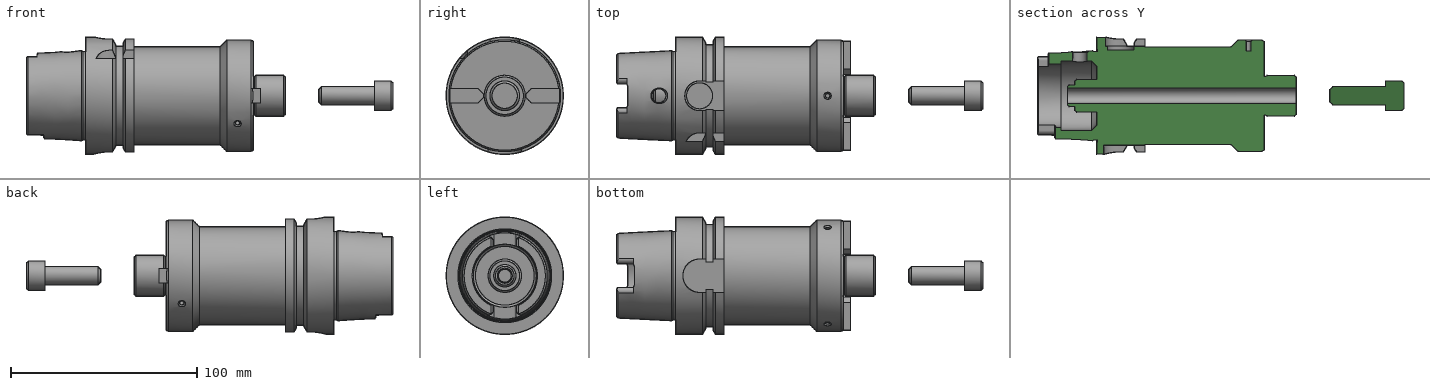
import cadquery as cq
import math

TOTAL_LENGTH = 197.0

SHANK_LENGTH = 32.0
SHANK_TAIL_RADIUS = 45.5 / 2
TAPER_SLOPE = 1 / 20
TAIL_CHAMFER = 1.0
RELIEF_WIDTH = 2.2
RELIEF_RADIUS = 23.8
RELIEF_FLANK = 0.5
FACE_RECESS_RADIUS = 25.2
FACE_RECESS_DEPTH = 0.4

BORE_RADIUS = 17.0
BORE_MOUTH_CHAMFER = 0.5
BORE_LENGTH = 12.8
UNDERCUT_RADIUS = 18.5
BORE_FLOOR_RADIUS = 15.8

DRIVE_SLOT_WIDTH = 12.6
UPPER_DRIVE_SLOT_DEPTH = 6.1
LOWER_DRIVE_SLOT_DEPTH = 9.7
DRIVE_SLOT_FILLET = 1.4
SLOT_ROUNDING_HALF_WIDTH = 9.3
SLOT_ROUNDING_LOW = 18.7
SLOT_ROUNDING_HIGH = 20.9
SLOT_ROUNDING_SETBACK = 0.4
SLOT_MOUTH_FLARE = 1.2
SLOT_MOUTH_CHAMFER = 0.5

ACCESS_HOLE_X = 22.9
ACCESS_HOLE_DIAMETER = 7.5
ACCESS_COUNTERSINK_DIAMETER = 9.0

COUNTERSINK_CLEARANCE = 1.0

NUT_DIAMETER = 18.0
NUT_X = 20.0
NUT_CHAMFER = 1.0
TUBE_DIAMETER = 12.0
TUBE_PROTRUSION = 4.0
TUBE_CHAMFER = 1.0
COOLANT_BORE_DIAMETER = 8.0

FLANGE_RADIUS = 31.5
FLANGE_WIDTH = 26.0
GROOVE_OFFSET = 14.4
GROOVE_LEFT_FLANK = 1.8
GROOVE_FLOOR_WIDTH = 4.0
GROOVE_RIGHT_FLANK = 1.2
GROOVE_FLOOR_RADIUS = 27.5
GROOVE_HALF_ANGLE = 30.0

KEYWAY_OFFSET = 12.8
UPPER_KEYWAY_WIDTH = 16.0
LOWER_KEYWAY_WIDTH = 18.0
KEYWAY_FLOOR_HEIGHT = 26.5
POCKET_DIAMETER = 14.0
POCKET_DEPTH = 2.0
NOTCH_CORNER = 19.9

BODY_RADIUS = 26.4
HEAD_RADIUS = 60.0 / 2
HEAD_FACE_X = SHANK_LENGTH + 90.0
HEAD_LENGTH = 14.2
HEAD_CHAMFER = 1.4
HEAD_CHAMFER_DROP = 0.8
PILOT_RADIUS = 11.0
PILOT_LENGTH = 17.1
PILOT_CHAMFER = 1.0
NECK_RADIUS = 10.5
NECK_LENGTH = 0.5
NECK_RUNOUT = 0.8

KEY_WIDTH = 7.9
KEY_HEIGHT = 4.0
KEY_SEAT_DEPTH = 1.0
KEY_OUTER_REACH = 29.4
KEY_INNER_REACH = 11.5
KEY_CHAMFER = 3.0

RADIAL_HOLE_COUNT = 3
RADIAL_HOLE_X = 113.5
RADIAL_HOLE_DIAMETER = 2.4
RADIAL_HOLE_DEPTH = 6.0
RADIAL_COUNTERSINK_DIAMETER = 4.0

SCREW_LENGTH = 40.0
SCREW_SHAFT_DIAMETER = 10.0
SCREW_TIP_CHAMFER = 1.5
SCREW_HEAD_DIAMETER = 16.0
SCREW_HEAD_LENGTH = 10.0
SCREW_HEAD_CHAMFER = 1.2

FLANGE_END = SHANK_LENGTH + FLANGE_WIDTH
KEYWAY_X = SHANK_LENGTH + KEYWAY_OFFSET


def revolve_about_x(profile):
    """Solid of revolution from (x, radius) points, closed along the X axis."""
    start = (profile[0][0], 0)
    end = (profile[-1][0], 0)
    outline = cq.Workplane("XY").polyline([start, *profile, end]).close()
    return outline.revolve(360, (0, 0, 0), (1, 0, 0))


def x_cylinder(diameter, start, end):
    return cq.Workplane("YZ", origin=(start, 0, 0)).circle(diameter / 2).extrude(end - start)


def block(x_range, y_range, z_range):
    size = [high - low for low, high in (x_range, y_range, z_range)]
    return cq.Workplane("XY").box(*size, centered=False).translate((x_range[0], y_range[0], z_range[0]))


def outer_body():
    """Shank, flange, body, head and pilot as one turned solid."""
    relief_start = SHANK_LENGTH - RELIEF_WIDTH
    recess_floor = SHANK_LENGTH + FACE_RECESS_DEPTH
    tail_edge_radius = SHANK_TAIL_RADIUS + TAPER_SLOPE * TAIL_CHAMFER
    flank_slope = 1 / math.tan(math.radians(GROOVE_HALF_ANGLE))
    groove_start = SHANK_LENGTH + GROOVE_OFFSET
    floor_start = groove_start + GROOVE_LEFT_FLANK
    floor_end = floor_start + GROOVE_FLOOR_WIDTH
    groove_end = floor_end + GROOVE_RIGHT_FLANK
    head_start = HEAD_FACE_X - HEAD_LENGTH
    neck_end = HEAD_FACE_X + NECK_LENGTH
    pilot_end = HEAD_FACE_X + PILOT_LENGTH
    return revolve_about_x([
        (0, tail_edge_radius - TAIL_CHAMFER),
        (TAIL_CHAMFER, tail_edge_radius),
        (relief_start, SHANK_TAIL_RADIUS + TAPER_SLOPE * relief_start),
        (relief_start + RELIEF_FLANK, RELIEF_RADIUS),
        (recess_floor, RELIEF_RADIUS),
        (recess_floor, FACE_RECESS_RADIUS - RELIEF_FLANK),
        (SHANK_LENGTH, FACE_RECESS_RADIUS),
        (SHANK_LENGTH, FLANGE_RADIUS),
        (groove_start, FLANGE_RADIUS),
        (floor_start, FLANGE_RADIUS - GROOVE_LEFT_FLANK * flank_slope),
        (floor_start, GROOVE_FLOOR_RADIUS),
        (floor_end, GROOVE_FLOOR_RADIUS),
        (floor_end, FLANGE_RADIUS - GROOVE_RIGHT_FLANK * flank_slope),
        (groove_end, FLANGE_RADIUS),
        (FLANGE_END, FLANGE_RADIUS),
        (FLANGE_END, BODY_RADIUS),
        (head_start - (HEAD_RADIUS - BODY_RADIUS), BODY_RADIUS),
        (head_start, HEAD_RADIUS),
        (HEAD_FACE_X - HEAD_CHAMFER, HEAD_RADIUS),
        (HEAD_FACE_X, HEAD_RADIUS - HEAD_CHAMFER_DROP),
        (HEAD_FACE_X, NECK_RADIUS),
        (neck_end, NECK_RADIUS),
        (neck_end + NECK_RUNOUT, PILOT_RADIUS),
        (pilot_end - PILOT_CHAMFER, PILOT_RADIUS),
        (pilot_end, PILOT_RADIUS - PILOT_CHAMFER),
    ])


def shank_bore():
    """Bore that steps out into a wider undercut, with a chamfered floor."""
    floor_chamfer = UNDERCUT_RADIUS - BORE_FLOOR_RADIUS
    return revolve_about_x([
        (0, BORE_RADIUS + BORE_MOUTH_CHAMFER),
        (BORE_MOUTH_CHAMFER, BORE_RADIUS),
        (BORE_LENGTH, BORE_RADIUS),
        (BORE_LENGTH, UNDERCUT_RADIUS),
        (SHANK_LENGTH - floor_chamfer, UNDERCUT_RADIUS),
        (SHANK_LENGTH, BORE_FLOOR_RADIUS),
    ])


def drive_slot(depth):
    """Cutter for one tail slot on the +Z side, with rounded outer edges and a flared mouth."""
    half_width = DRIVE_SLOT_WIDTH / 2
    slot = block((0, depth), (-half_width, half_width), (0, FLANGE_RADIUS))
    slot = slot.edges("|Z and >X").fillet(DRIVE_SLOT_FILLET)
    rounding = (
        cq.Workplane("YZ")
        .lineTo(half_width, 0)
        .lineTo(half_width, SLOT_ROUNDING_LOW)
        .tangentArcPoint((SLOT_ROUNDING_HALF_WIDTH, SLOT_ROUNDING_HIGH), relative=False)
        .lineTo(SLOT_ROUNDING_HALF_WIDTH, FLANGE_RADIUS)
        .lineTo(0, FLANGE_RADIUS)
        .close()
        .extrude(depth - SLOT_ROUNDING_SETBACK)
    )
    mouth_half_width = half_width + SLOT_MOUTH_FLARE
    mouth = (
        cq.Workplane("XY")
        .moveTo(0, -mouth_half_width)
        .lineTo(SLOT_MOUTH_CHAMFER, -half_width)
        .lineTo(SLOT_MOUTH_CHAMFER, half_width)
        .lineTo(0, mouth_half_width)
        .close()
        .extrude(FLANGE_RADIUS)
    )
    return slot.union(rounding).union(rounding.mirror("XZ")).union(mouth)


def countersunk_hole(hole_diameter, countersink_diameter, surface_radius, depth):
    """Cutter along Z whose 90 degree countersink reaches its diameter at the given radius."""
    cone_start = surface_radius - (countersink_diameter - hole_diameter) / 2
    cone_height = surface_radius - cone_start + COUNTERSINK_CLEARANCE
    hole = cq.Workplane("XY").circle(hole_diameter / 2).extrude(depth)
    hole = hole.translate((0, 0, surface_radius - depth))
    cone = cq.Solid.makeCone(
        hole_diameter / 2,
        hole_diameter / 2 + cone_height,
        cone_height,
        pnt=cq.Vector(0, 0, cone_start),
    )
    return hole.union(cq.Workplane(obj=cone))


def access_hole():
    surface_radius = SHANK_TAIL_RADIUS + TAPER_SLOPE * ACCESS_HOLE_X
    depth = surface_radius - NUT_DIAMETER / 2
    hole = countersunk_hole(ACCESS_HOLE_DIAMETER, ACCESS_COUNTERSINK_DIAMETER, surface_radius, depth)
    return hole.translate((ACCESS_HOLE_X, 0, 0))


def coolant_fitting():
    """Chamfered nut standing on the bore floor, with the coolant tube through it."""
    nut = x_cylinder(NUT_DIAMETER, NUT_X, SHANK_LENGTH).faces("<X").chamfer(NUT_CHAMFER)
    tube = x_cylinder(TUBE_DIAMETER, NUT_X - TUBE_PROTRUSION, SHANK_LENGTH)
    tube = tube.faces("<X").chamfer(TUBE_CHAMFER)
    return nut.union(tube)


def round_ended_slot(width, center_y, floor_height):
    """Cutter parallel to X with a round end, open through the back of the flange."""
    slot = block(
        (KEYWAY_X, FLANGE_END),
        (center_y - width / 2, center_y + width / 2),
        (floor_height, FLANGE_RADIUS),
    )
    end = cq.Workplane("XY", origin=(KEYWAY_X, center_y, floor_height)).circle(width / 2)
    return slot.union(end.extrude(FLANGE_RADIUS - floor_height))


def keyway_pocket():
    floor = KEYWAY_FLOOR_HEIGHT - POCKET_DEPTH
    return cq.Workplane("XY", origin=(KEYWAY_X, 0, floor)).circle(POCKET_DIAMETER / 2).extrude(POCKET_DEPTH)


def drive_key():
    """Key on the +Y side of the head face, bevelled at its inner end."""
    key = block(
        (HEAD_FACE_X - KEY_SEAT_DEPTH, HEAD_FACE_X + KEY_HEIGHT),
        (KEY_INNER_REACH, KEY_OUTER_REACH),
        (-KEY_WIDTH / 2, KEY_WIDTH / 2),
    )
    return key.edges("|X and <Y").chamfer(KEY_CHAMFER)


def radial_hole():
    hole = countersunk_hole(
        RADIAL_HOLE_DIAMETER, RADIAL_COUNTERSINK_DIAMETER, HEAD_RADIUS, RADIAL_HOLE_DEPTH
    )
    return hole.translate((RADIAL_HOLE_X, 0, 0))


def turned_around_x(shape, angle):
    return shape.rotate((0, 0, 0), (1, 0, 0), angle)


def toolholder():
    holder = outer_body().cut(shank_bore()).cut(access_hole())
    holder = holder.cut(drive_slot(UPPER_DRIVE_SLOT_DEPTH))
    holder = holder.cut(turned_around_x(drive_slot(LOWER_DRIVE_SLOT_DEPTH), 180))

    holder = holder.cut(round_ended_slot(UPPER_KEYWAY_WIDTH, 0, KEYWAY_FLOOR_HEIGHT))
    holder = holder.cut(keyway_pocket())
    lower_keyway = round_ended_slot(LOWER_KEYWAY_WIDTH, 0, KEYWAY_FLOOR_HEIGHT)
    holder = holder.cut(turned_around_x(lower_keyway, 180))
    notch_center_y = -NOTCH_CORNER - UPPER_KEYWAY_WIDTH / 2
    holder = holder.cut(round_ended_slot(UPPER_KEYWAY_WIDTH, notch_center_y, NOTCH_CORNER))

    for angle in (0, 180):
        holder = holder.union(turned_around_x(drive_key(), angle))
    for index in range(RADIAL_HOLE_COUNT):
        holder = holder.cut(turned_around_x(radial_hole(), index * 360 / RADIAL_HOLE_COUNT))

    coolant_bore = x_cylinder(COOLANT_BORE_DIAMETER, 0, HEAD_FACE_X + PILOT_LENGTH)
    return holder.union(coolant_fitting()).cut(coolant_bore)


def clamping_screw():
    tip_x = TOTAL_LENGTH - SCREW_LENGTH
    head_x = TOTAL_LENGTH - SCREW_HEAD_LENGTH
    shaft = x_cylinder(SCREW_SHAFT_DIAMETER, tip_x, head_x).faces("<X").chamfer(SCREW_TIP_CHAMFER)
    head = x_cylinder(SCREW_HEAD_DIAMETER, head_x, TOTAL_LENGTH)
    head = head.faces(">X").chamfer(SCREW_HEAD_CHAMFER)
    return shaft.union(head)


holder = toolholder()
screw = clamping_screw()
result = cq.Compound.makeCompound([holder.val(), screw.val()])